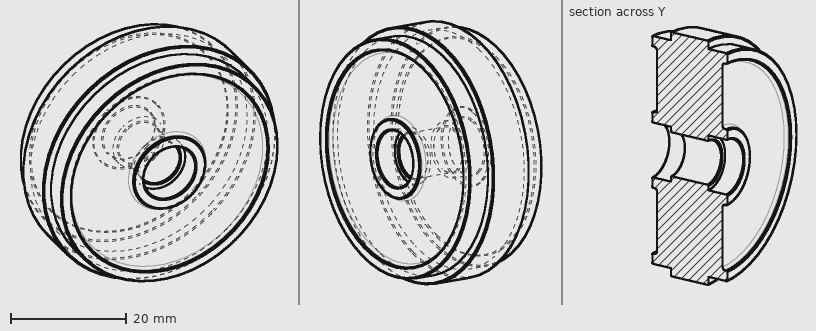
import cadquery as cq


width = 16.0
tread_width = 8.0
recess_depth = 1.0
counterbore_depth = 4.0

tread_radius = 22.5
shoulder_radius = 21.0
rim_inner_radius = 19.0
hub_radius = 7.0
counterbore_radius = 5.0
bore_radius = 4.0

edge_chamfer = 0.2
root_fillet = 0.5

half_width = width / 2


def x_cylinder(radius, start, end):
    """Solid cylinder on the X axis between two X positions."""
    return cq.Workplane("YZ").workplane(offset=start).circle(radius).extrude(end - start)


def x_frustum(start_radius, end_radius, start, end):
    """Solid cone frustum on the X axis between two X positions."""
    outline = [(start, 0), (start, start_radius), (end, end_radius), (end, 0)]
    return cq.Workplane("XY").polyline(outline).close().revolve(360, (0, 0, 0), (1, 0, 0))


def chamfered_disc(radius, disc_width):
    """Disc centred on the origin with both rims chamfered."""
    disc = x_cylinder(radius, -disc_width / 2, disc_width / 2)
    return disc.faces("<X or >X").edges().chamfer(edge_chamfer)


def face_recess():
    """Ring-shaped recess in the -X face: chamfered at the mouth, filleted at the floor."""
    floor = -half_width + recess_depth
    ring = x_cylinder(rim_inner_radius, -half_width, floor)
    ring = ring.cut(x_cylinder(hub_radius, -half_width, floor))
    ring = ring.faces(">X").edges().fillet(root_fillet)

    mouth_floor = -half_width + edge_chamfer
    mouth = x_frustum(rim_inner_radius + edge_chamfer, rim_inner_radius, -half_width, mouth_floor)
    mouth = mouth.cut(x_frustum(hub_radius - edge_chamfer, hub_radius, -half_width, mouth_floor))
    return ring.union(mouth)


def counterbore():
    """Bearing seat from the -X face, with chamfers at its mouth and on the bore edge at its floor."""
    floor = -half_width + counterbore_depth
    seat = x_cylinder(counterbore_radius, -half_width, floor)
    for radius, mouth in ((counterbore_radius, -half_width), (bore_radius, floor)):
        seat = seat.union(x_frustum(radius + edge_chamfer, radius, mouth, mouth + edge_chamfer))
    return seat


wheel = chamfered_disc(shoulder_radius, width)
wheel = wheel.union(chamfered_disc(tread_radius, tread_width))
wheel = wheel.cut(x_cylinder(bore_radius, -half_width, half_width))
for pocket in (face_recess(), counterbore()):
    wheel = wheel.cut(pocket)
    wheel = wheel.cut(pocket.mirror("YZ"))

result = wheel